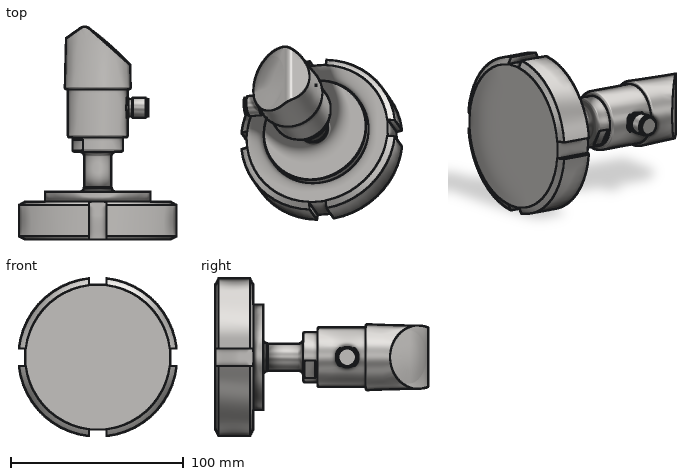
import cadquery as cq
import math


NUT_RADIUS = 46.0
NUT_LENGTH = 22.1
NUT_CHAMFER_RADIAL = 4.0
NUT_CHAMFER_AXIAL = 2.05
SLOT_WIDTH = 10.0
SLOT_FLOOR = NUT_RADIUS - NUT_CHAMFER_RADIAL
SLOT_COUNT = 4

FLANGE_RADIUS = 30.6
FLANGE_TOP = 28.0
FLANGE_CHAMFER = 0.3

STEM_RADIUS = 7.9
WELD_CONE_RADIUS = 8.3
WELD_CONE_HEIGHT = 1.0
ROOT_CURVE = 1.6
FLARE_CURVE = 2.7

COLLAR_BASE = 50.9
COLLAR_RADIUS = 14.7
COLLAR_FILLET = 1.4
ACROSS_FLATS = 27.0
FLATS_ANGLE = 149.0
FLAT_START = 51.6
FLAT_END = 57.8
FLAT_END_RUN = 0.7

HOUSING_BASE = 59.2
HOUSING_RADIUS = 17.4
HOUSING_FILLET = 1.3

CAP_BASE = 87.1
CAP_TOP = 123.36
CAP_BASE_RADIUS = 19.2
CAP_TAPER = 1.5
CAP_FILLET = 1.2
RIDGE_X = -7.6
RIDGE_CURVE = 4.0
DISPLAY_SLOPE = 41.6
LABEL_SLOPE = 35.5
LENS_RADIUS = 15.5
LENS_CROWN = 0.7
LENS_SEAT = 0.5
VENT_DIAMETER = 1.0
VENT_DEPTH = 0.5
VENT_Y = 101.5

CONNECTOR_Y = 76.4
SPOTFACE_RADIUS = 6.6
SPOTFACE_X = 16.6
FOOT_RADIUS = 5.7
FOOT_END = 17.8
NECK_RADIUS = 5.15
NECK_END = 19.7
THREAD_RADIUS = 5.9
THREAD_LEAD_IN = 0.6
THREAD_END = 28.1
TIP_END = 29.4


def cylinder_y(radius, start, end):
    """Cylinder about the Y axis between two Y positions."""
    return cq.Workplane("XZ", origin=(0, start, 0)).circle(radius).extrude(start - end)


def cylinder_x(radius, start, end):
    """Cylinder about the connector axis between two X positions."""
    return cq.Workplane("YZ", origin=(start, CONNECTOR_Y, 0)).circle(radius).extrude(end - start)


def make_nut():
    chamfer_start = NUT_RADIUS - NUT_CHAMFER_RADIAL
    nut = (
        cq.Workplane("XY")
        .moveTo(0, 0)
        .lineTo(chamfer_start, 0)
        .lineTo(NUT_RADIUS, NUT_CHAMFER_AXIAL)
        .lineTo(NUT_RADIUS, NUT_LENGTH - NUT_CHAMFER_AXIAL)
        .lineTo(chamfer_start, NUT_LENGTH)
        .lineTo(0, NUT_LENGTH)
        .close()
        .revolve(360, (0, 0, 0), (0, 1, 0))
    )
    slot = cq.Workplane("XY").box(
        NUT_RADIUS, NUT_LENGTH, SLOT_WIDTH, centered=(False, False, True)
    ).translate((SLOT_FLOOR, 0, 0))
    for index in range(SLOT_COUNT):
        nut = nut.cut(slot.rotate((0, 0, 0), (0, 1, 0), index * 360 / SLOT_COUNT))
    return nut


def make_flange():
    return cylinder_y(FLANGE_RADIUS, NUT_LENGTH, FLANGE_TOP).faces(">Y").chamfer(FLANGE_CHAMFER)


def make_stem():
    cone_base = FLANGE_TOP + ROOT_CURVE
    diagonal = 1 - math.sqrt(0.5)
    root_mid = (WELD_CONE_RADIUS + ROOT_CURVE * diagonal, FLANGE_TOP + ROOT_CURVE * diagonal)
    flare_mid = (STEM_RADIUS + FLARE_CURVE * diagonal, COLLAR_BASE - FLARE_CURVE * diagonal)
    return (
        cq.Workplane("XY")
        .moveTo(0, FLANGE_TOP)
        .lineTo(WELD_CONE_RADIUS + ROOT_CURVE, FLANGE_TOP)
        .threePointArc(root_mid, (WELD_CONE_RADIUS, cone_base))
        .lineTo(STEM_RADIUS, cone_base + WELD_CONE_HEIGHT)
        .lineTo(STEM_RADIUS, COLLAR_BASE - FLARE_CURVE)
        .threePointArc(flare_mid, (STEM_RADIUS + FLARE_CURVE, COLLAR_BASE))
        .lineTo(0, COLLAR_BASE)
        .close()
        .revolve(360, (0, 0, 0), (0, 1, 0))
    )


def make_collar():
    collar = cylinder_y(COLLAR_RADIUS, COLLAR_BASE, HOUSING_BASE)
    collar = collar.faces("<Y").edges().fillet(COLLAR_FILLET)
    flat_x = ACROSS_FLATS / 2
    cutter = (
        cq.Workplane("XY")
        .moveTo(flat_x, FLAT_START)
        .lineTo(COLLAR_RADIUS, FLAT_START - FLAT_END_RUN)
        .lineTo(COLLAR_RADIUS, FLAT_END + FLAT_END_RUN)
        .lineTo(flat_x, FLAT_END)
        .close()
        .extrude(COLLAR_RADIUS, both=True)
    )
    for angle in (FLATS_ANGLE, FLATS_ANGLE + 180):
        collar = collar.cut(cutter.rotate((0, 0, 0), (0, 1, 0), -angle))
    return collar


def make_housing():
    housing = cylinder_y(HOUSING_RADIUS, HOUSING_BASE, CAP_BASE).faces("<Y").edges().fillet(HOUSING_FILLET)
    return housing.cut(cylinder_x(SPOTFACE_RADIUS, SPOTFACE_X, HOUSING_RADIUS))


def ridge_point(angle):
    """Point on the ridge curve at an angle from +Y, positive toward +X."""
    return (
        RIDGE_X + RIDGE_CURVE * math.sin(angle),
        CAP_TOP - RIDGE_CURVE + RIDGE_CURVE * math.cos(angle),
    )


def make_cap():
    body = (
        cq.Workplane("XZ", origin=(0, CAP_BASE, 0))
        .circle(CAP_BASE_RADIUS)
        .extrude(CAP_BASE - CAP_TOP, taper=CAP_TAPER)
        .faces("<Y").edges().fillet(CAP_FILLET)
    )
    display = math.radians(DISPLAY_SLOPE)
    label = math.radians(LABEL_SLOPE)
    display_tangent = ridge_point(display)
    label_tangent = ridge_point(-label)
    reach = CAP_BASE_RADIUS
    display_edge_y = display_tangent[1] - (reach - display_tangent[0]) * math.tan(display)
    label_edge_y = label_tangent[1] - (reach + label_tangent[0]) * math.tan(label)
    side_outline = (
        cq.Workplane("XY")
        .moveTo(-reach, CAP_BASE)
        .lineTo(reach, CAP_BASE)
        .lineTo(reach, display_edge_y)
        .lineTo(*display_tangent)
        .threePointArc((RIDGE_X, CAP_TOP), label_tangent)
        .lineTo(-reach, label_edge_y)
        .close()
        .extrude(reach, both=True)
    )
    wall_x = CAP_BASE_RADIUS - (VENT_Y - CAP_BASE) * math.tan(math.radians(CAP_TAPER))
    vent = (
        cq.Workplane("YZ", origin=(VENT_DEPTH - wall_x, VENT_Y, 0))
        .circle(VENT_DIAMETER / 2)
        .extrude(-2 * VENT_DEPTH)
    )
    return body.intersect(side_outline).cut(vent)


def make_lens():
    """Slightly domed window centred on the sloping display plane of the cap."""
    slope = math.radians(DISPLAY_SLOPE)
    downhill = (math.cos(slope), -math.sin(slope), 0)
    ridge_tangent = ridge_point(slope)
    center = (
        ridge_tangent[0] + LENS_RADIUS * downhill[0],
        ridge_tangent[1] + LENS_RADIUS * downhill[1],
        0,
    )
    dome_radius = (LENS_RADIUS**2 + LENS_CROWN**2) / (2 * LENS_CROWN)
    mid_x = LENS_RADIUS / 2
    mid_y = LENS_CROWN - dome_radius + math.sqrt(dome_radius**2 - mid_x**2)
    return (
        cq.Workplane(cq.Plane(origin=center, xDir=downhill, normal=(0, 0, 1)))
        .moveTo(0, -LENS_SEAT)
        .lineTo(LENS_RADIUS, -LENS_SEAT)
        .lineTo(LENS_RADIUS, 0)
        .threePointArc((mid_x, mid_y), (0, LENS_CROWN))
        .close()
        .revolve(360, (0, 0, 0), (0, 1, 0))
    )


def make_connector():
    foot = cylinder_x(FOOT_RADIUS, 0, FOOT_END)
    neck = cylinder_x(NECK_RADIUS, 0, TIP_END)
    thread = cylinder_x(THREAD_RADIUS, NECK_END, THREAD_END).edges().chamfer(THREAD_LEAD_IN)
    return foot.union(neck).union(thread)


result = make_nut()
for section in (make_flange, make_stem, make_collar, make_housing, make_cap, make_lens, make_connector):
    result = result.union(section())